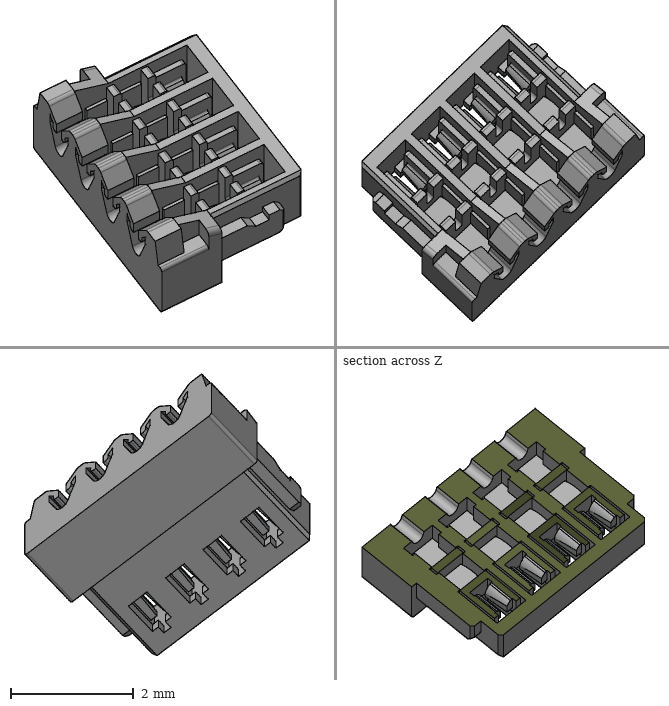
import cadquery as cq


POSITIONS = 4
PITCH = 0.8
POSITION_CENTRES = [(i - (POSITIONS - 1) / 2) * PITCH for i in range(POSITIONS)]

CLEARANCE = 0.04
EDGE_TOLERANCE = 0.005

HEAD_WIDTH = 4.0
HEAD_DEPTH = 1.15
HEAD_HEIGHT = 1.7
HEAD_EDGE_RADIUS = 0.06
TOTAL_DEPTH = 2.9
BODY_WIDTH = 3.38
BODY_BOTTOM = 0.25
BODY_TOP = 1.46
BODY_CHAMFER = 0.06

JAW_DEPTH = 0.5
SHOULDER_DEPTH = 0.9
SHOULDER_HEIGHT = 1.16
SHOULDER_WALL_X = 1.7
EAR_RADIUS = 0.1
JAW_END_TOP_X = 1.79
JAW_END_FOOT_X = 1.885

GAP_HALF = 0.08
VALLEY_BOTTOM = 1.425
VALLEY_TOP_HALF = 0.33
CREST_RADIUS = 0.1
LIP_BOTTOM = 1.19
LIP_HALF = 0.19
LIP_SHOULDER = 1.35
LIP_RADIUS = 0.065
ENTRY_HALF = 0.285
ENTRY_TOP = 1.465
ENTRY_TAPER_TOP = 1.265
ENTRY_APEX = 0.47
ENTRY_RADIUS = 0.12

POCKET_WIDTH = 0.655
POCKET_BACK = 2.65
POCKET_FLOOR = 0.5
LEDGE_START = 0.705
LEDGE_TOP = 1.095
LEDGE_HALF_GAP = 0.27
WINDOW_HALF = 0.2
WINDOW_BACK = 2.51
PIN_SLOT_HALF = 0.075

RAIL_X = 1.89
RAIL_BOTTOM = 0.455
RAIL_TOP = 1.055
RAIL_END = 2.44
RAIL_CORNER_Y = 0.11
RAIL_CORNER_Z = 0.095
RAIL_NOTCH_BACK = 2.125
RAIL_NOTCH_FRONT = 1.87
RAIL_NOTCH_RAMP_TOP = 1.71
RAIL_NOTCH_DEPTH = 0.13
RAIL_CHAMFER = 0.05

BLADE_WIDTH = 0.595
FRONT_BLADE_TOP = 1.42
REAR_BLADE_TOP = 1.455
BLADE_RADIUS = 0.05
FRONT_BLADE_Y = (1.095, 1.25)
REAR_BLADE_Y = (1.75, 1.905)
WIRE_SLOT_HALF = 0.075
WIRE_SLOT_BOTTOM = 0.86
BASE_THICKNESS = 0.1
BASE_END_HALF = 0.23
BASE_MID_HALF = 0.265
ARM_TOP = 1.19
ARM_END = 2.56
ARM_RADIUS = 0.065
ARM_FOOT_RADIUS = 0.045
TONGUE_START = 2.0
TONGUE_END = 2.475
TONGUE_TIP_START = 0.045
TONGUE_TIP_END = 0.075
TONGUE_TOP = 0.88
TONGUE_BEND = 0.045
TONGUE_HOLLOW_RADIUS = 0.055
TONGUE_CURL = 0.24
TONGUE_CURL_RADIUS = 0.24


def box(x0, x1, y0, y1, z0, z1):
    return cq.Workplane("XY").box(x1 - x0, y1 - y0, z1 - z0, centered=False).translate((x0, y0, z0))


def along_y(outline, y0, y1):
    """Extrude an XZ outline from y0 to y1."""
    return cq.Workplane("XZ", origin=(0, y0, 0)).polyline(outline).close().extrude(y0 - y1)


def along_x(outline, x0, x1):
    """Extrude a YZ outline from x0 to x1."""
    return cq.Workplane("YZ", origin=(x0, 0, 0)).polyline(outline).close().extrude(x1 - x0)


def both_sides(shape):
    return shape.union(shape.mirror("YZ"))


def make_head():
    """Front block with a sloping top, rounded ears and open shoulders at both ends."""
    half = HEAD_WIDTH / 2
    top_slope = [
        (0, 0),
        (HEAD_DEPTH, 0),
        (HEAD_DEPTH, BODY_TOP),
        (JAW_DEPTH, HEAD_HEIGHT),
        (0, HEAD_HEIGHT),
    ]
    head = along_x(top_slope, -half, half)
    reach = half + CLEARANCE
    above = HEAD_HEIGHT + CLEARANCE
    ear_edges = cq.selectors.BoxSelector((-reach, JAW_DEPTH, BODY_TOP), (reach, HEAD_DEPTH, HEAD_HEIGHT))
    head = head.edges(ear_edges).edges("not |X").fillet(EAR_RADIUS)
    head = head.edges("|Y and <Z").fillet(HEAD_EDGE_RADIUS)

    wall_shoulder = box(SHOULDER_WALL_X, reach, JAW_DEPTH, SHOULDER_DEPTH, SHOULDER_HEIGHT, above)
    jaw_end = [
        (JAW_END_FOOT_X, SHOULDER_HEIGHT),
        (reach, SHOULDER_HEIGHT),
        (reach, above),
        (JAW_END_TOP_X, above),
        (JAW_END_TOP_X, HEAD_HEIGHT),
    ]
    head = head.cut(both_sides(wall_shoulder)).cut(both_sides(along_y(jaw_end, 0, JAW_DEPTH)))
    shoulder_edges = cq.selectors.BoxSelector(
        (-reach, 0, SHOULDER_HEIGHT - EDGE_TOLERANCE),
        (reach, SHOULDER_DEPTH, SHOULDER_HEIGHT + EDGE_TOLERANCE))
    return head.edges(shoulder_edges).edges("|Y").edges("<X or >X").fillet(HEAD_EDGE_RADIUS)


def make_body():
    """Rear block that plugs into the mate."""
    half = BODY_WIDTH / 2
    body = box(-half, half, JAW_DEPTH, TOTAL_DEPTH, BODY_BOTTOM, BODY_TOP)
    return body.faces("<X or >X").edges("|Y or (|Z and >Y)").chamfer(BODY_CHAMFER)


def make_rails():
    """Latch rail with a ramped notch on each side of the body."""
    notch_floor = RAIL_TOP - RAIL_NOTCH_DEPTH
    outline = [
        (SHOULDER_DEPTH, RAIL_BOTTOM),
        (RAIL_END - RAIL_CORNER_Y, RAIL_BOTTOM),
        (RAIL_END, RAIL_BOTTOM + RAIL_CORNER_Z),
        (RAIL_END, RAIL_TOP - RAIL_CORNER_Z),
        (RAIL_END - RAIL_CORNER_Y, RAIL_TOP),
        (RAIL_NOTCH_BACK, RAIL_TOP),
        (RAIL_NOTCH_BACK, notch_floor),
        (RAIL_NOTCH_FRONT, notch_floor),
        (RAIL_NOTCH_RAMP_TOP, RAIL_TOP),
        (SHOULDER_DEPTH, RAIL_TOP),
    ]
    rail = along_x(outline, BODY_WIDTH / 2 - CLEARANCE, RAIL_X)
    rail = rail.faces(">Y").edges(">X").chamfer(RAIL_CHAMFER)
    return both_sides(rail)


def make_wire_entry():
    """Valley, gap and tapered wire passage of one position, centred on X = 0."""
    valley = along_y([
        (-GAP_HALF, VALLEY_BOTTOM),
        (GAP_HALF, VALLEY_BOTTOM),
        (VALLEY_TOP_HALF, HEAD_HEIGHT),
        (PITCH / 2, HEAD_HEIGHT),
        (PITCH / 2, HEAD_HEIGHT + CLEARANCE),
        (-PITCH / 2, HEAD_HEIGHT + CLEARANCE),
        (-PITCH / 2, HEAD_HEIGHT),
        (-VALLEY_TOP_HALF, HEAD_HEIGHT),
    ], 0, JAW_DEPTH)
    crest_edges = cq.selectors.BoxSelector(
        (-VALLEY_TOP_HALF - EDGE_TOLERANCE, -CLEARANCE, HEAD_HEIGHT - EDGE_TOLERANCE),
        (VALLEY_TOP_HALF + EDGE_TOLERANCE, JAW_DEPTH + CLEARANCE, HEAD_HEIGHT + EDGE_TOLERANCE))
    valley = valley.edges(crest_edges).edges("|Y").fillet(CREST_RADIUS)
    gap = box(-GAP_HALF, GAP_HALF, 0, JAW_DEPTH, LIP_BOTTOM, VALLEY_BOTTOM)
    passage = along_y([
        (0, ENTRY_APEX),
        (ENTRY_HALF, ENTRY_TAPER_TOP),
        (ENTRY_HALF, ENTRY_TOP),
        (-ENTRY_HALF, ENTRY_TOP),
        (-ENTRY_HALF, ENTRY_TAPER_TOP),
    ], 0, JAW_DEPTH).edges("|Y and <Z").fillet(ENTRY_RADIUS)
    lips = along_y([
        (-LIP_HALF, LIP_BOTTOM),
        (LIP_HALF, LIP_BOTTOM),
        (LIP_HALF, LIP_SHOULDER),
        (ENTRY_HALF, ENTRY_TOP),
        (-ENTRY_HALF, ENTRY_TOP),
        (-LIP_HALF, LIP_SHOULDER),
    ], 0, JAW_DEPTH).edges("|Y and <Z").fillet(LIP_RADIUS)
    return passage.cut(lips).union(gap).union(valley)


def make_pocket():
    """Contact pocket of one position, centred on X = 0."""
    half = POCKET_WIDTH / 2
    pocket = box(-half, half, JAW_DEPTH, POCKET_BACK, POCKET_FLOOR, HEAD_HEIGHT)
    for y0, y1 in ((LEDGE_START, FRONT_BLADE_Y[0]), (FRONT_BLADE_Y[1], REAR_BLADE_Y[0])):
        pocket = pocket.cut(both_sides(box(LEDGE_HALF_GAP, half, y0, y1, POCKET_FLOOR, LEDGE_TOP)))
    window = box(-WINDOW_HALF, WINDOW_HALF, REAR_BLADE_Y[1], WINDOW_BACK, BODY_BOTTOM, POCKET_FLOOR)
    pin_slot = box(-PIN_SLOT_HALF, PIN_SLOT_HALF, WINDOW_BACK, POCKET_BACK, BODY_BOTTOM, POCKET_FLOOR)
    return pocket.union(window).union(pin_slot)


def make_housing():
    """Head, body and rails in one piece, with a wire entry and a pocket at each position."""
    housing = make_head().union(make_body()).union(make_rails())
    cavity = make_wire_entry().union(make_pocket())
    for x in POSITION_CENTRES:
        housing = housing.cut(cavity.translate((x, 0, 0)))
    return housing


def make_blade(y_span, top):
    """Upright blade with a round-bottomed wire slot."""
    half = BLADE_WIDTH / 2
    y0, y1 = y_span
    blade = box(-half, half, y0, y1, POCKET_FLOOR, top)
    blade = blade.faces(">Y").edges(">Z").fillet(BLADE_RADIUS)
    slot = (
        cq.Workplane("XZ", origin=(0, y0, 0))
        .moveTo(-WIRE_SLOT_HALF, top)
        .lineTo(-WIRE_SLOT_HALF, WIRE_SLOT_BOTTOM + WIRE_SLOT_HALF)
        .threePointArc((0, WIRE_SLOT_BOTTOM), (WIRE_SLOT_HALF, WIRE_SLOT_BOTTOM + WIRE_SLOT_HALF))
        .lineTo(WIRE_SLOT_HALF, top)
        .close()
        .extrude(y0 - y1)
    )
    return blade.cut(slot)


def make_base():
    """Strip with bowed sides joining the two blades."""
    y0, y1 = FRONT_BLADE_Y[1], REAR_BLADE_Y[0]
    middle = (y0 + y1) / 2
    return (
        cq.Workplane("XY", origin=(0, 0, POCKET_FLOOR))
        .moveTo(-BASE_END_HALF, y0)
        .lineTo(BASE_END_HALF, y0)
        .threePointArc((BASE_MID_HALF, middle), (BASE_END_HALF, y1))
        .lineTo(-BASE_END_HALF, y1)
        .threePointArc((-BASE_MID_HALF, middle), (-BASE_END_HALF, y0))
        .close()
        .extrude(BASE_THICKNESS)
    )


def make_arm():
    """Side arm behind the rear blade; its root lies inside the blade to carry the rounded foot."""
    y0 = REAR_BLADE_Y[1]
    root_top = ARM_TOP + 2 * ARM_FOOT_RADIUS
    outline = [
        (y0 - ARM_FOOT_RADIUS, POCKET_FLOOR),
        (ARM_END, POCKET_FLOOR),
        (ARM_END, ARM_TOP),
        (y0, ARM_TOP),
        (y0, root_top),
        (y0 - ARM_FOOT_RADIUS, root_top),
    ]
    arm = along_x(outline, WINDOW_HALF, BLADE_WIDTH / 2)
    arm = arm.faces(">Y").edges(">Z").fillet(ARM_RADIUS)
    foot = cq.selectors.BoxSelector(
        (0, y0 - EDGE_TOLERANCE, ARM_TOP - EDGE_TOLERANCE),
        (BLADE_WIDTH, y0 + EDGE_TOLERANCE, ARM_TOP + EDGE_TOLERANCE))
    return arm.edges(foot).edges("|X").fillet(ARM_FOOT_RADIUS)


def make_tongue():
    """Spring tongue curling inward and down from the arm, wider at its front end."""
    bend_x = WINDOW_HALF - TONGUE_BEND
    bend_z = TONGUE_TOP - TONGUE_BEND
    tip_z = bend_z - TONGUE_CURL
    section = (
        cq.Workplane("XZ", origin=(0, TONGUE_START, 0))
        .moveTo(WINDOW_HALF, tip_z)
        .lineTo(WINDOW_HALF, TONGUE_TOP)
        .radiusArc((bend_x, bend_z), TONGUE_HOLLOW_RADIUS)
        .radiusArc((TONGUE_TIP_START, tip_z), -TONGUE_CURL_RADIUS)
        .close()
        .extrude(TONGUE_START - TONGUE_END)
    )
    plan = (
        cq.Workplane("XY", origin=(0, 0, tip_z))
        .polyline([
            (WINDOW_HALF, TONGUE_START),
            (TONGUE_TIP_START, TONGUE_START),
            (TONGUE_TIP_END, TONGUE_END),
            (WINDOW_HALF, TONGUE_END),
        ])
        .close()
        .extrude(TONGUE_TOP - tip_z)
    )
    return section.intersect(plan)


def make_contact():
    """Two slotted blades, the strip between them, and a spring arm on each side."""
    front_blade = make_blade(FRONT_BLADE_Y, FRONT_BLADE_TOP)
    rear_blade = make_blade(REAR_BLADE_Y, REAR_BLADE_TOP)
    contact = front_blade.union(rear_blade).union(make_base())
    return contact.union(both_sides(make_arm().union(make_tongue())))


housing = make_housing()
contact = make_contact()
contacts = [contact.translate((x, 0, 0)).val() for x in POSITION_CENTRES]

result = cq.Compound.makeCompound([housing.val(), *contacts])